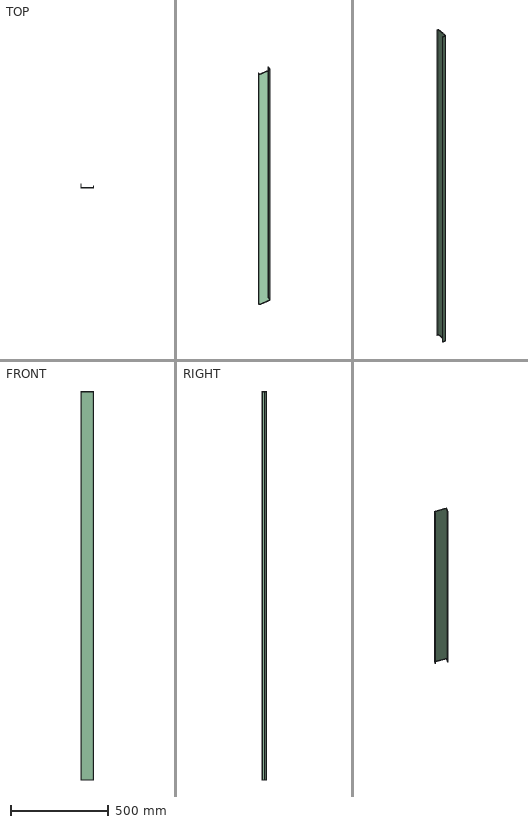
import cadquery as cq

WIDTH = 64.8
TALL_FLANGE = 21.0
LENGTH = 2000.0

SHORT_FLANGE = 10.5
THICKNESS = 1.5
OUTER_BEND_RADIUS = 2.0
INNER_BEND_RADIUS = OUTER_BEND_RADIUS - THICKNESS


def channel_body():
    """Sharp-cornered channel along Z: web on the -Y side, tall flange at -X, short flange at +X."""
    left = -WIDTH / 2
    right = WIDTH / 2
    web_outside = -TALL_FLANGE / 2
    web_inside = web_outside + THICKNESS
    tall_tip = web_outside + TALL_FLANGE
    short_tip = web_outside + SHORT_FLANGE
    section = (
        cq.Workplane("XY", origin=(0, 0, -LENGTH / 2))
        .moveTo(left, web_outside)
        .lineTo(right, web_outside)
        .lineTo(right, short_tip)
        .lineTo(right - THICKNESS, short_tip)
        .lineTo(right - THICKNESS, web_inside)
        .lineTo(left + THICKNESS, web_inside)
        .lineTo(left + THICKNESS, tall_tip)
        .lineTo(left, tall_tip)
        .close()
    )
    return section.extrude(LENGTH)


def round_bends(body):
    """Round both bends concentrically, so the sheet keeps its thickness around each corner."""
    web_inside = -TALL_FLANGE / 2 + THICKNESS
    around_inner_corners = cq.selectors.BoxSelector(
        (-WIDTH / 2, web_inside - THICKNESS / 2, -LENGTH),
        (WIDTH / 2, web_inside + THICKNESS / 2, LENGTH),
    )
    body = body.edges("|Z").edges(around_inner_corners).fillet(INNER_BEND_RADIUS)
    return body.edges("|Z and <Y").fillet(OUTER_BEND_RADIUS)


result = round_bends(channel_body())